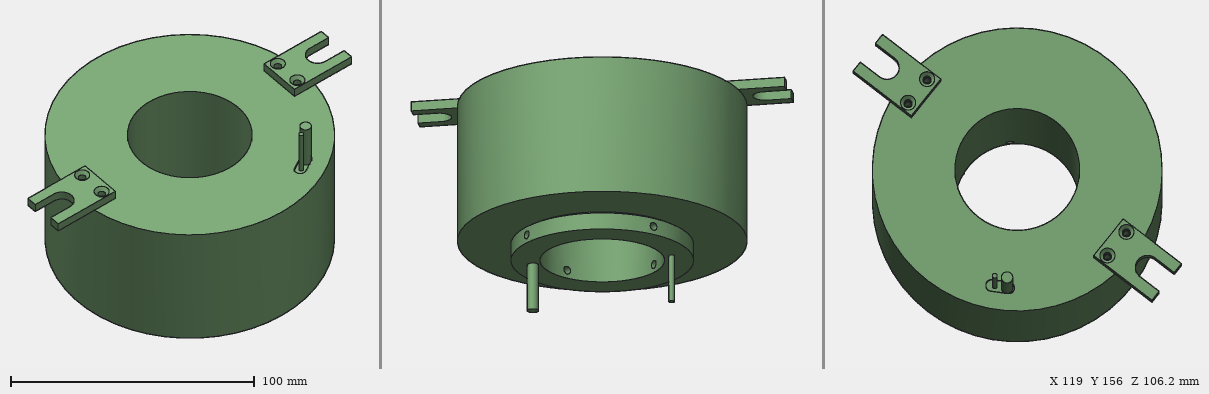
import cadquery as cq
import math

body_diameter = 119.0
body_height = 58.8
core_diameter = 115.0
sleeve_diameter = 54.0
bore_diameter = 51.2

neck_diameter = 70.0
neck_height = 1.4
collar_diameter = 75.0
collar_height = 7.0
collar_bottom = -neck_height - collar_height
screw_hole_diameter = 3.3
screw_hole_count = 4
first_screw_hole_angle = 45.0

bottom_pin_length = 20.0
bottom_pin_radial_position = 29.0
thick_bottom_pin_diameter = 4.7
thin_bottom_pin_diameter = 2.4

recess_radial_position = 49.7
recess_angle = 30.0
recess_center_spacing = 6.9
recess_width = 4.9
recess_depth = 1.0
thick_lead_offset = 2.9
thick_lead_diameter = 4.7
thin_lead_offset = -2.2
thin_lead_diameter = 2.0
lead_rise = 19.0

tab_tip_radius = 78.0
tab_length = 30.4
tab_width = 19.6
tab_thickness = 4.0
fork_width = 10.0
fork_depth = 15.0
tab_hole_spacing = 12.6
tab_hole_radial_position = 52.0
tab_hole_diameter = 3.2
countersink_diameter = 6.2
countersink_angle = 90.0

body_hole_diameter = 2.5
body_hole_depth = 8.0
drill_point_angle = 118.0


def cylinder(diameter, bottom, height, x=0.0, y=0.0):
    """Upright cylinder starting at the given height."""
    return cq.Workplane("XY", origin=(x, y, bottom)).circle(diameter / 2).extrude(height)


def tube(outer_diameter, inner_diameter, bottom, height):
    """Upright hollow cylinder centered on the Z axis."""
    base = cq.Workplane("XY", origin=(0, 0, bottom))
    return base.circle(outer_diameter / 2).circle(inner_diameter / 2).extrude(height)


def make_body():
    """Shell, core and sleeve; the unmerged faces keep their boundaries on the top."""
    shell = tube(body_diameter, core_diameter, 0, body_height)
    core = tube(core_diameter, sleeve_diameter, 0, body_height)
    sleeve = tube(sleeve_diameter, bore_diameter, 0, body_height)
    return shell.union(core, clean=False).union(sleeve, clean=False)


def make_collar():
    """Neck and wider flange with evenly spaced radial holes through to the bore."""
    neck = tube(neck_diameter, bore_diameter, -neck_height, neck_height)
    flange = tube(collar_diameter, bore_diameter, collar_bottom, collar_height)
    screw_hole = (
        cq.Workplane("YZ", origin=(0, 0, collar_bottom + collar_height / 2))
        .circle(screw_hole_diameter / 2)
        .extrude(collar_diameter)
    )
    for index in range(screw_hole_count):
        angle = first_screw_hole_angle + index * 360.0 / screw_hole_count
        flange = flange.cut(screw_hole.rotate((0, 0, 0), (0, 0, 1), angle))
    return neck.union(flange)


def make_bottom_pin(diameter, y):
    return cylinder(diameter, collar_bottom, -bottom_pin_length, y=y)


def recess_point(offset):
    """Point on the recess centerline, which runs tangentially at the recess angle."""
    angle = math.radians(recess_angle)
    x = recess_radial_position * math.cos(angle) - offset * math.sin(angle)
    y = recess_radial_position * math.sin(angle) + offset * math.cos(angle)
    return x, y


def make_recess():
    x, y = recess_point(0)
    return (
        cq.Workplane("XY", origin=(x, y, body_height - recess_depth))
        .slot2D(recess_center_spacing + recess_width, recess_width, recess_angle + 90)
        .extrude(recess_depth)
    )


def make_lead(diameter, offset):
    """Lead standing on the recess floor."""
    x, y = recess_point(offset)
    return cylinder(diameter, body_height - recess_depth, recess_depth + lead_rise, x, y)


def make_tab():
    """Tab pointing along +Y, with an open round-ended fork and two countersunk holes."""
    plate = (
        cq.Workplane("XY", origin=(0, tab_tip_radius - tab_length / 2, body_height))
        .rect(tab_width, tab_length)
        .extrude(tab_thickness)
    )
    fork = (
        cq.Workplane("XY", origin=(0, tab_tip_radius, body_height))
        .slot2D(2 * fork_depth, fork_width, 90)
        .extrude(tab_thickness)
    )
    return (
        plate.cut(fork)
        .faces(">Z")
        .workplane(origin=(0, tab_hole_radial_position, 0))
        .pushPoints([(-tab_hole_spacing / 2, 0), (tab_hole_spacing / 2, 0)])
        .cskHole(tab_hole_diameter, countersink_diameter, countersink_angle)
    )


def make_body_hole(x, y):
    """Cutter for one blind screw hole: a half profile revolved about its axis."""
    radius = body_hole_diameter / 2
    point_depth = radius / math.tan(math.radians(drill_point_angle / 2))
    return (
        cq.Workplane("XZ", origin=(x, y, body_height))
        .lineTo(radius, 0)
        .lineTo(radius, -body_hole_depth)
        .lineTo(0, -body_hole_depth - point_depth)
        .close()
        .revolve(360, (0, 0, 0), (0, 1, 0))
    )


tab = make_tab()
result = make_body().cut(make_recess(), clean=False)
for piece in (
    make_collar(),
    make_bottom_pin(thick_bottom_pin_diameter, bottom_pin_radial_position),
    make_bottom_pin(thin_bottom_pin_diameter, -bottom_pin_radial_position),
    make_lead(thick_lead_diameter, thick_lead_offset),
    make_lead(thin_lead_diameter, thin_lead_offset),
    tab,
    tab.rotate((0, 0, 0), (0, 0, 1), 180),
):
    result = result.union(piece, clean=False)

for x_side in (-1, 1):
    for y_side in (-1, 1):
        body_hole = make_body_hole(x_side * tab_hole_spacing / 2, y_side * tab_hole_radial_position)
        result = result.cut(body_hole, clean=False)